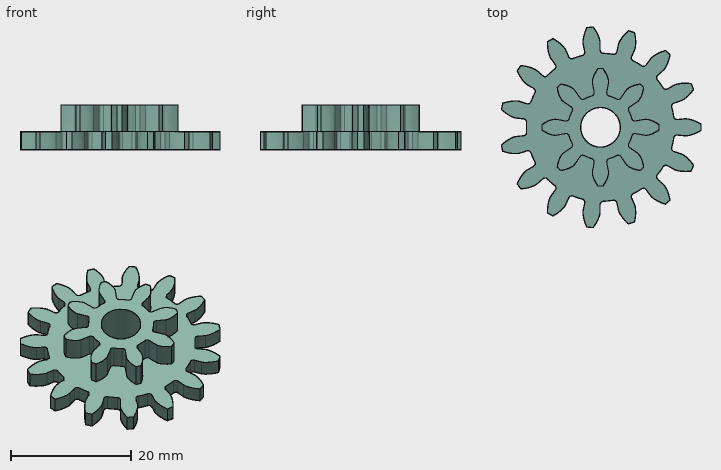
import cadquery as cq
import math

MODULE = 2.0
PRESSURE_ANGLE = math.radians(20)
FLANK_BACKLASH = 0.27
ROOT_FILLET = 0.55
INVOLUTE_STEPS = 8

WHEEL_TEETH = 15
WHEEL_TIP_RADIUS = 16.75
WHEEL_ROOT_RADIUS = 12.33
WHEEL_THICKNESS = 3.0

PINION_TEETH = 8
PINION_TIP_RADIUS = 9.75
PINION_ROOT_RADIUS = 5.4

TOTAL_HEIGHT = 7.5
BORE_DIAMETER = 6.55


def polar(radius, angle):
    return (radius * math.cos(angle), radius * math.sin(angle))


def involute(angle):
    """Polar angle swept by an involute up to the given pressure angle."""
    return math.tan(angle) - angle


def spur_gear(teeth, tip_radius, root_radius, thickness):
    """Gear with involute flanks, radial flanks below the base circle and filleted roots."""
    pitch_radius = MODULE * teeth / 2
    base_radius = pitch_radius * math.cos(PRESSURE_ANGLE)
    tooth_pitch = 2 * math.pi / teeth

    pitch_half_angle = tooth_pitch / 4 - FLANK_BACKLASH / pitch_radius
    base_half_angle = pitch_half_angle + involute(PRESSURE_ANGLE)

    tip_pressure_angle = math.acos(base_radius / tip_radius)
    flank = []
    for step in range(INVOLUTE_STEPS + 1):
        pressure_angle = tip_pressure_angle * step / INVOLUTE_STEPS
        radius = base_radius / math.cos(pressure_angle)
        flank.append((radius, base_half_angle - involute(pressure_angle)))
    tip_half_angle = flank[-1][1]

    fillet_centre_radius = root_radius + ROOT_FILLET
    fillet_top_radius = math.sqrt(fillet_centre_radius**2 - ROOT_FILLET**2)
    fillet_centre_angle = base_half_angle + math.asin(ROOT_FILLET / fillet_centre_radius)

    def fillet_middle(centre_angle, side):
        """Middle of the fillet arc; side is +1 above the tooth and -1 below it."""
        centre_x, centre_y = polar(fillet_centre_radius, centre_angle)
        half_sweep = (math.pi / 2 - (fillet_centre_angle - base_half_angle)) / 2
        offset_angle = centre_angle + math.pi + side * half_sweep
        offset_x, offset_y = polar(ROOT_FILLET, offset_angle)
        return (centre_x + offset_x, centre_y + offset_y)

    outline = cq.Workplane("XY").moveTo(*polar(root_radius, -fillet_centre_angle))
    for tooth in range(teeth):
        middle = tooth * tooth_pitch
        rising = [polar(radius, middle - angle) for radius, angle in flank]
        falling = [polar(radius, middle + angle) for radius, angle in reversed(flank)]
        outline = (
            outline.threePointArc(
                fillet_middle(middle - fillet_centre_angle, -1),
                polar(fillet_top_radius, middle - base_half_angle),
            )
            .lineTo(*rising[0])
            .spline(rising[1:], includeCurrent=True)
            .threePointArc(polar(tip_radius, middle), polar(tip_radius, middle + tip_half_angle))
            .spline(falling[1:], includeCurrent=True)
            .lineTo(*polar(fillet_top_radius, middle + base_half_angle))
            .threePointArc(
                fillet_middle(middle + fillet_centre_angle, 1),
                polar(root_radius, middle + fillet_centre_angle),
            )
            .threePointArc(
                polar(root_radius, middle + tooth_pitch / 2),
                polar(root_radius, middle + tooth_pitch - fillet_centre_angle),
            )
        )
    return outline.close().extrude(thickness)


wheel = spur_gear(WHEEL_TEETH, WHEEL_TIP_RADIUS, WHEEL_ROOT_RADIUS, WHEEL_THICKNESS)
pinion = spur_gear(PINION_TEETH, PINION_TIP_RADIUS, PINION_ROOT_RADIUS, TOTAL_HEIGHT)
bore = cq.Workplane("XY").circle(BORE_DIAMETER / 2).extrude(TOTAL_HEIGHT)

result = wheel.union(pinion).cut(bore)